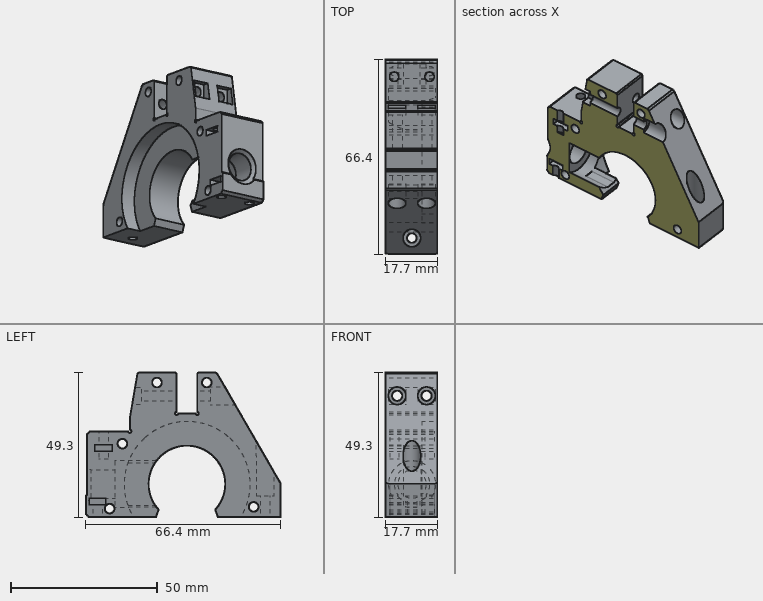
import cadquery as cq
import math

width = 17.69
axis_x = 9.0
front_y = -32.0
bottom_z = -11.25
top_z = 38.0

bore_r = 13.0
recess_r = 21.4
recess_start_x = 12.3
socket_dia = 16.0
socket_end_y = 24.5
flat_width = 3.3
flat_end_y = 20.0
passage_dia = 9.6
passage_mouth_dia = 12.8

mouth_half_width = 10.5
lip_half_width = 9.6

slope_foot_z = 0.0
front_slope_angle = 60.0
slot_half_width = 3.5
slot_floor_z = 24.0
edge_chamfer = 0.5
tower_top_y = 16.8
tower_back_y = 19.43
tower_slope_foot_z = 22.6
block_top_z = 17.9
block_back_y = 34.0
foot_back_y = 34.4
foot_top_z = -3.65
block_chamfer = 1.0
relief_r = 0.5

bevel_depth = 0.25
near_bevel_width = 1.4
far_bevel_width = 1.0

cross_screw_dia = 3.2
cross_screws = [
    (10.2, 34.5),
    (-6.75, 34.5),
    (21.95, 13.7),
    (26.3, -8.4),
    (-22.7, -7.8),
]
clamp_screw_dia = 3.4
screw_head_dia = 6.0
clamp_half_spacing = 5.0
clamp_z = 30.0
clamp_head_floor_y = -8.0
clamp_nut_size = 5.9
clamp_nut_floor_y = 15.5
front_screw_dia = 3.2
front_screw_y = -26.5
front_head_floor_z = -4.0
block_screw_dia = 3.2
block_half_spacing = 6.0
nut_slot_depth = 6.0
upper_nut_y = 28.4
upper_nut_width = 6.0
upper_nut_z = (11.2, 13.3)
upper_screw_floor_z = 8.5
lower_nut_y = 30.4
lower_nut_width = 5.7
lower_nut_z = (-7.0, -4.95)


def box(x_range, y_range, z_range):
    """Axis-aligned box between the given limits."""
    size = [high - low for low, high in (x_range, y_range, z_range)]
    corner = (x_range[0], y_range[0], z_range[0])
    return cq.Workplane("XY").box(*size, centered=False).translate(corner)


def cylinder(start, axis, length, dia):
    """Round bar from a start point along an axis direction."""
    return cq.Workplane(cq.Solid.makeCylinder(dia / 2, length, cq.Vector(*start), cq.Vector(*axis)))


def body():
    """Side outline of the two towers, rear block and front foot, extruded along X."""
    chamfer_foot_z = top_z - edge_chamfer
    front_slope = math.radians(front_slope_angle)
    slope_top_y = front_y + (top_z - slope_foot_z) / math.tan(front_slope)
    back_slope = math.atan2(top_z - tower_slope_foot_z, tower_back_y - tower_top_y)
    outline = [
        (front_y, bottom_z),
        (front_y, slope_foot_z),
        (slope_top_y - edge_chamfer * math.cos(front_slope), top_z - edge_chamfer * math.sin(front_slope)),
        (slope_top_y + edge_chamfer, top_z),
        (-slot_half_width - edge_chamfer, top_z),
        (-slot_half_width, chamfer_foot_z),
        (-slot_half_width, slot_floor_z),
        (slot_half_width, slot_floor_z),
        (slot_half_width, chamfer_foot_z),
        (slot_half_width + edge_chamfer, top_z),
        (tower_top_y - edge_chamfer, top_z),
        (tower_top_y + edge_chamfer * math.cos(back_slope), top_z - edge_chamfer * math.sin(back_slope)),
        (tower_back_y, tower_slope_foot_z),
        (tower_back_y, block_top_z),
        (block_back_y - block_chamfer, block_top_z),
        (block_back_y, block_top_z - block_chamfer),
        (block_back_y, foot_top_z),
        (foot_back_y, foot_top_z - (foot_back_y - block_back_y)),
        (foot_back_y, bottom_z + block_chamfer),
        (foot_back_y - block_chamfer, bottom_z),
    ]
    return cq.Workplane("YZ").polyline(outline).close().extrude(width)


def bore():
    """Drive bore, its open mouth and the wide motor recess on the +X side."""
    lip_z = -math.sqrt(bore_r**2 - lip_half_width**2)
    mouth = (
        cq.Workplane("YZ")
        .polyline([
            (-mouth_half_width, bottom_z),
            (-lip_half_width, lip_z),
            (lip_half_width, lip_z),
            (mouth_half_width, bottom_z),
        ])
        .close()
        .extrude(width)
    )
    round_bore = cylinder((0, 0, 0), (1, 0, 0), width, 2 * bore_r)
    recess = cylinder((recess_start_x, 0, 0), (1, 0, 0), width - recess_start_x, 2 * recess_r)
    return round_bore.union(mouth).union(recess)


def socket():
    """Round socket running back from the bore, with a narrow flat left along its floor."""
    barrel = cylinder((axis_x, 0, 0), (0, 1, 0), socket_end_y, socket_dia)
    radius = socket_dia / 2
    flat_z = -math.sqrt(radius**2 - (flat_width / 2) ** 2)
    below_flat = box((axis_x - radius, axis_x + radius), (0, flat_end_y), (-radius, flat_z))
    return barrel.cut(below_flat)


def passage():
    """Smaller hole from the socket out through the back, opening in a 45 degree countersink."""
    hole = cylinder((axis_x, 0, 0), (0, 1, 0), foot_back_y, passage_dia)
    sink_depth = (passage_mouth_dia - passage_dia) / 2
    sink = cq.Solid.makeCone(
        passage_dia / 2,
        passage_mouth_dia / 2,
        sink_depth,
        cq.Vector(axis_x, foot_back_y - sink_depth, 0),
        cq.Vector(0, 1, 0),
    )
    return hole.union(cq.Workplane(sink))


def corner_reliefs():
    """Small round undercuts in the inner corners of the outline."""
    corners = [
        (-slot_half_width, slot_floor_z),
        (slot_half_width, slot_floor_z),
        (tower_back_y, block_top_z),
    ]
    return cq.Workplane("YZ").pushPoints(corners).circle(relief_r).extrude(width)


def front_bevel(corner_x, inner_x):
    """Shallow wedge along a vertical front edge, from the side face to inner_x."""
    height = top_z - bottom_z
    return (
        cq.Workplane("XY", origin=(0, 0, bottom_z))
        .polyline([(corner_x, front_y), (inner_x, front_y), (corner_x, front_y + bevel_depth)])
        .close()
        .extrude(height)
    )


def cross_holes():
    """Assembly screw holes through the full width."""
    return cq.Workplane("YZ").pushPoints(cross_screws).circle(cross_screw_dia / 2).extrude(width)


def clamp_hole(x):
    """Screw through both towers, its head at the front and a square nut at the back."""
    hole = cylinder((x, front_y, clamp_z), (0, 1, 0), foot_back_y - front_y, clamp_screw_dia)
    head = cylinder((x, front_y, clamp_z), (0, 1, 0), clamp_head_floor_y - front_y, screw_head_dia)
    half_nut = clamp_nut_size / 2
    nut = box(
        (x - half_nut, x + half_nut),
        (clamp_nut_floor_y, foot_back_y),
        (clamp_z - half_nut, clamp_z + half_nut),
    )
    return hole.union(head).union(nut)


def front_hole():
    """Vertical screw through the front foot, its head sunk from the front slope."""
    hole = cylinder((axis_x, front_screw_y, bottom_z), (0, 0, 1), top_z - bottom_z, front_screw_dia)
    head_length = top_z - front_head_floor_z
    head = cylinder((axis_x, front_screw_y, front_head_floor_z), (0, 0, 1), head_length, screw_head_dia)
    return hole.union(head)


def block_hole(side):
    """Vertical screws of the rear block with their nut slots, on the -X (-1) or +X (+1) side."""
    x = axis_x + side * block_half_spacing
    slot_x = (0, nut_slot_depth) if side < 0 else (width - nut_slot_depth, width)
    upper_y = (upper_nut_y - upper_nut_width / 2, upper_nut_y + upper_nut_width / 2)
    lower_y = (lower_nut_y - lower_nut_width / 2, lower_nut_y + lower_nut_width / 2)
    upper_length = block_top_z - upper_screw_floor_z
    upper = cylinder((x, upper_nut_y, upper_screw_floor_z), (0, 0, 1), upper_length, block_screw_dia)
    lower = cylinder((x, lower_nut_y, bottom_z), (0, 0, 1), lower_nut_z[1] - bottom_z, block_screw_dia)
    slots = box(slot_x, upper_y, upper_nut_z).union(box(slot_x, lower_y, lower_nut_z))
    return upper.union(lower).union(slots)


result = body().cut(bore()).cut(socket()).cut(passage())
result = result.cut(corner_reliefs()).cut(cross_holes()).cut(front_hole())
result = result.cut(front_bevel(0, near_bevel_width)).cut(front_bevel(width, width - far_bevel_width))
for side in (-1, 1):
    result = result.cut(clamp_hole(axis_x + side * clamp_half_spacing)).cut(block_hole(side))